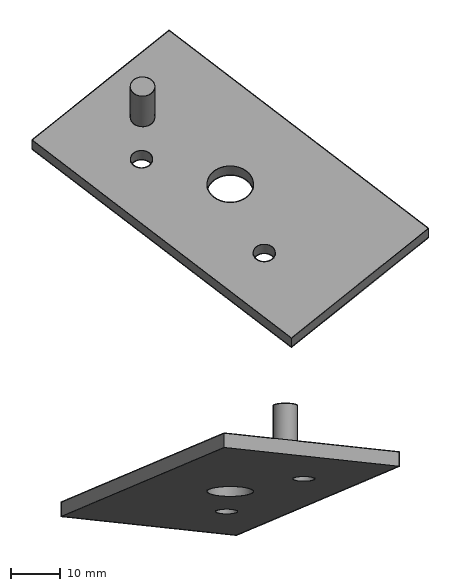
import cadquery as cq

plate_length = 74.0
plate_width = 40.0
plate_thickness = 3.0

overall_height = 13.0
pin_diameter = 5.0
pin_x = -25.0
pin_height = overall_height - plate_thickness

bore_diameter = 9.5
small_hole_diameter = 4.5
small_hole_spacing = 35.0
small_hole_y = -8.0

plate = cq.Workplane("XY").box(
    plate_length, plate_width, plate_thickness, centered=(True, True, False)
)

small_hole_centres = [(side * small_hole_spacing / 2, small_hole_y) for side in (-1, 1)]
drilled_plate = (
    plate.faces(">Z").workplane(origin=(0, 0, plate_thickness))
    .hole(bore_diameter)
    .faces(">Z").workplane(origin=(0, 0, plate_thickness))
    .pushPoints(small_hole_centres)
    .hole(small_hole_diameter)
)

pin = (
    cq.Workplane("XY", origin=(pin_x, 0, plate_thickness))
    .circle(pin_diameter / 2)
    .extrude(pin_height)
)

result = drilled_plate.union(pin)